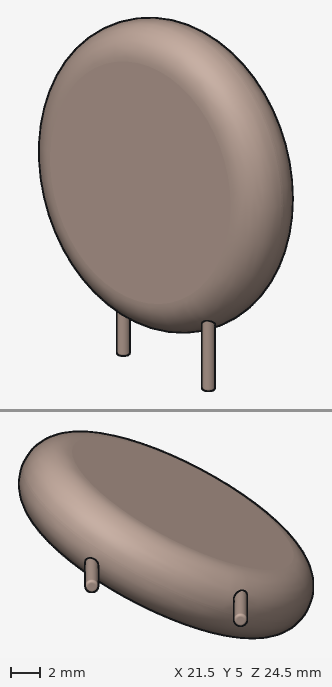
import cadquery as cq

disc_diameter = 21.5
disc_thickness = 5.0
edge_radius = 2.43

overall_height = 24.53
lead_diameter = 0.9
lead_offset_x = 5.0
lead_offset_y = 1.15
lead_tip_radius = 0.2

disc_radius = disc_diameter / 2
lead_bottom_z = disc_radius - overall_height
lead_length = -lead_bottom_z - disc_radius / 2


def make_disc():
    """Round disc whose two rims are rounded, leaving a narrow flat band between them."""
    disc = cq.Workplane("XZ").circle(disc_radius).extrude(disc_thickness / 2, both=True)
    return disc.edges().fillet(edge_radius)


def make_lead(x, y):
    """Straight round lead with a rounded lower tip."""
    lead = cq.Workplane("XY", origin=(x, y, lead_bottom_z)).circle(lead_diameter / 2).extrude(lead_length)
    return lead.faces("<Z").edges().fillet(lead_tip_radius)


result = make_disc()
for side in (-1, 1):
    result = result.union(make_lead(side * lead_offset_x, -side * lead_offset_y))